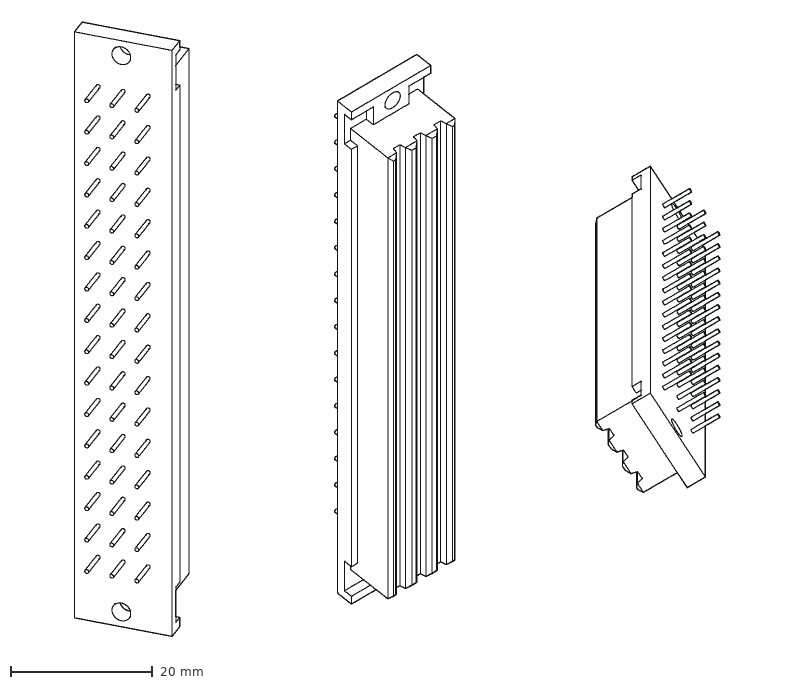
import cadquery as cq

PLATE_WIDTH = 14.8
PLATE_LENGTH = 94.9
PLATE_THICKNESS = 3.0

HOLE_DIAMETER = 2.8
HOLE_SPACING = 90.1
HOLE_OFFSET_X = -0.3

NOTCH_DEPTH = 1.5
NOTCH_START = 1.5
NOTCH_END = 7.2
WEB_WIDTH = 6.6

BODY_WIDTH = 12.5
BODY_LENGTH = 85.0
BODY_REAR = 10.2
RIDGE_CHAMFER = 0.6

PIN_DIAMETER = 0.6
PIN_LENGTH = 4.5
PIN_ROWS = 16
PIN_COLUMNS = 3
COLUMN_PITCH = 3.8
ROW_SPAN = 76.2
ROW_PITCH = ROW_SPAN / (PIN_ROWS - 1)
PIN_CENTRE_Z = 1.2

GROOVE_DEPTH = 1.5
GROOVE_FLOOR_WIDTH = 1.2
GROOVE_MOUTH_WIDTH = 1.9


def centred_positions(count, pitch, centre=0):
    """Evenly spaced coordinates, symmetric about the centre."""
    return [centre + (i - (count - 1) / 2) * pitch for i in range(count)]


COLUMN_POSITIONS = centred_positions(PIN_COLUMNS, COLUMN_PITCH)
ROW_POSITIONS = centred_positions(PIN_ROWS, ROW_PITCH, PIN_CENTRE_Z)
NOTCH_FLOOR_Y = PLATE_THICKNESS - NOTCH_DEPTH


def block(x_range, y_range, z_range):
    """Box spanning the given (low, high) limits along each axis."""
    lows, highs = zip(x_range, y_range, z_range)
    sizes = [high - low for low, high in zip(lows, highs)]
    return cq.Workplane("XY").box(*sizes, centered=False).translate(lows)


def make_notches():
    """Four side notches, mirrored left to right and end to end."""
    notch = block(
        (-PLATE_WIDTH / 2, -WEB_WIDTH / 2),
        (NOTCH_FLOOR_Y, PLATE_THICKNESS),
        (PLATE_LENGTH / 2 - NOTCH_END, PLATE_LENGTH / 2 - NOTCH_START),
    )
    pair = notch.union(notch.mirror("YZ"))
    return pair.union(pair.mirror("XY"))


def make_mounting_holes():
    centres = [(HOLE_OFFSET_X, z) for z in (-HOLE_SPACING / 2, HOLE_SPACING / 2)]
    return cq.Workplane("XZ").pushPoints(centres).circle(HOLE_DIAMETER / 2).extrude(-PLATE_THICKNESS)


def make_plate():
    plate = block(
        (-PLATE_WIDTH / 2, PLATE_WIDTH / 2),
        (0, PLATE_THICKNESS),
        (-PLATE_LENGTH / 2, PLATE_LENGTH / 2),
    )
    return plate.cut(make_notches()).cut(make_mounting_holes())


def make_groove(x):
    """Groove with sloping walls, running the full length of the body."""
    floor = GROOVE_FLOOR_WIDTH / 2
    mouth = GROOVE_MOUTH_WIDTH / 2
    floor_y = BODY_REAR - GROOVE_DEPTH
    outline = [
        (x - floor, floor_y),
        (x + floor, floor_y),
        (x + mouth, BODY_REAR),
        (x - mouth, BODY_REAR),
    ]
    return cq.Workplane("XY").polyline(outline).close().extrude(BODY_LENGTH / 2, both=True)


def make_body():
    """Body with four chamfered ridges; its front end fills part of each notch."""
    body = block(
        (-BODY_WIDTH / 2, BODY_WIDTH / 2),
        (NOTCH_FLOOR_Y, BODY_REAR),
        (-BODY_LENGTH / 2, BODY_LENGTH / 2),
    )
    for x in COLUMN_POSITIONS:
        body = body.cut(make_groove(x))
    return body.faces(">Y").chamfer(RIDGE_CHAMFER)


def make_pins():
    """Grid of pins projecting forward from the plate."""
    centres = [(x, z) for x in COLUMN_POSITIONS for z in ROW_POSITIONS]
    return cq.Workplane("XZ").pushPoints(centres).circle(PIN_DIAMETER / 2).extrude(PIN_LENGTH)


result = make_plate().union(make_body()).union(make_pins())